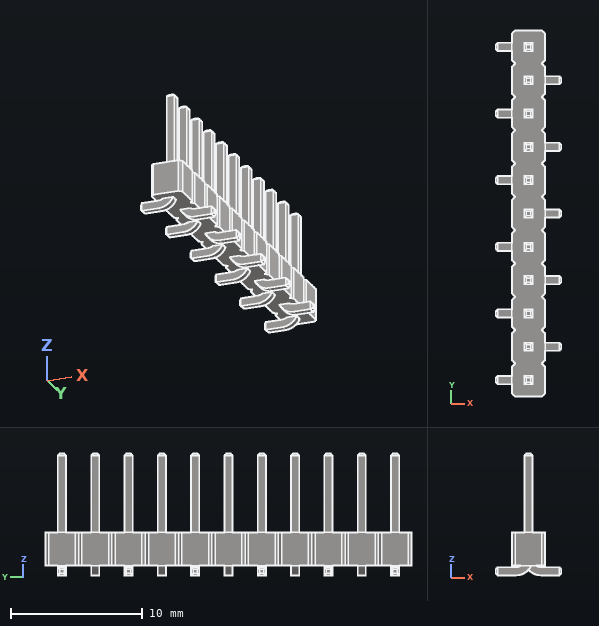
import cadquery as cq
import math

pin_count = 11
body_length = 27.95
pitch = body_length / pin_count
body_width = pitch
body_height = pitch
body_corner = 0.25
pin_above_body = 6.0
overall_width = 5.0
overall_height = 9.3
pin_size = 0.65
tip_chamfer = pin_size / 4
bend_outer_radius = 1.29

body_lift = overall_height - pin_above_body - body_height

half_pin = pin_size / 2
foot_reach = overall_width / 2
bend_inner_radius = bend_outer_radius - pin_size
bend_center_x = half_pin - bend_outer_radius
bend_center_z = bend_outer_radius


def bend_point(radius):
    """Point halfway along the quarter-circle bend at the given radius."""
    offset = radius * math.sqrt(0.5)
    return (bend_center_x + offset, bend_center_z - offset)


def make_segment(y):
    """One body block with chamfered vertical corners, standing above the solder plane."""
    return (
        cq.Workplane("XY")
        .box(body_width, pitch, body_height, centered=(True, True, False))
        .edges("|Z")
        .chamfer(body_corner)
        .translate((0, y, body_lift))
    )


def make_pin():
    """Square pin that rises along Z and bends at its base into a foot toward -X."""
    return (
        cq.Workplane("XZ")
        .moveTo(-foot_reach, 0)
        .lineTo(bend_center_x, 0)
        .threePointArc(bend_point(bend_outer_radius), (half_pin, bend_center_z))
        .lineTo(half_pin, overall_height)
        .lineTo(-half_pin, overall_height)
        .lineTo(-half_pin, bend_center_z)
        .threePointArc(bend_point(bend_inner_radius), (bend_center_x, pin_size))
        .lineTo(-foot_reach, pin_size)
        .close()
        .extrude(half_pin, both=True)
        .faces(">Z or <X")
        .edges()
        .chamfer(tip_chamfer)
    )


left_pin = make_pin()
right_pin = left_pin.rotate((0, 0, 0), (0, 0, 1), 180)

result = cq.Workplane("XY")
for index in range(pin_count):
    y = (index - (pin_count - 1) / 2) * pitch
    pin = left_pin if index % 2 == 0 else right_pin
    result = result.union(make_segment(y)).union(pin.translate((0, y, 0)))